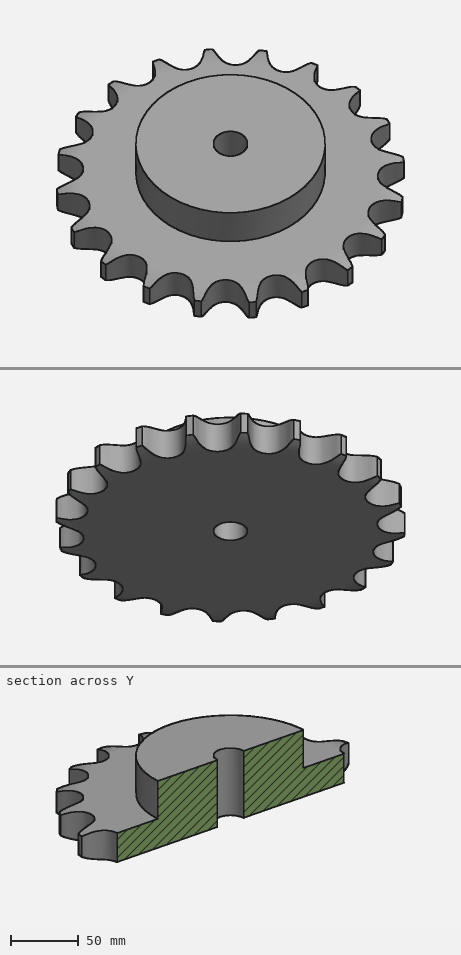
import cadquery as cq
import math

tooth_count = 20
pitch_diameter = 243.5
roller_diameter = 25.4
tip_diameter = 258.5
plate_thickness = 24.0
total_height = 55.0
hub_diameter = 140.0
bore_diameter = 25.0

relief_start_radius = 112.5
relief_drop = 3.5

seat_ratio = 0.5025
working_ratio = 0.8
topping_ratio = 1.4

seat_angle = math.radians(35 + 60 / tooth_count)
working_angle = math.radians(18 - 56 / tooth_count)
half_pitch_angle = math.radians(180 / tooth_count)

pitch_radius = pitch_diameter / 2
tip_radius = tip_diameter / 2
seat_radius = seat_ratio * roller_diameter
working_offset = working_ratio * roller_diameter
working_radius = seat_radius + working_offset
topping_offset = topping_ratio * roller_diameter

cutter_overrun = 12.8


def polar(center, radius, angle):
    """Point at a distance and an angle (radians, from +X) around a center."""
    return (center[0] + radius * math.cos(angle), center[1] + radius * math.sin(angle))


def mirrored(point):
    """Matching point on the other side of the gap."""
    return (-point[0], point[1])


def tooth_gap():
    """Cutter for the gap centered on +Y: seat arc, then working arc, flat and topping arc per side."""
    seat_center = (0, pitch_radius)
    seat_bottom = (0, pitch_radius - seat_radius)
    seat_end = polar(seat_center, seat_radius, -seat_angle)

    working_center = polar(seat_center, working_offset, math.pi - seat_angle)
    flat_angle = working_angle - seat_angle
    working_middle = polar(working_center, working_radius, flat_angle - working_angle / 2)
    working_end = polar(working_center, working_radius, flat_angle)

    topping_center = polar(seat_center, topping_offset, -half_pitch_angle)
    to_center = (topping_center[0] - working_end[0], topping_center[1] - working_end[1])
    topping_radius = to_center[0] * math.cos(flat_angle) + to_center[1] * math.sin(flat_angle)
    topping_start = polar(topping_center, topping_radius, math.pi + flat_angle)

    center_distance = math.hypot(*topping_center)
    cosine = (center_distance**2 + tip_radius**2 - topping_radius**2) / (2 * center_distance * tip_radius)
    center_bearing = math.atan2(topping_center[1], topping_center[0])
    tip_corner = polar((0, 0), tip_radius, center_bearing + math.acos(cosine))
    tip_direction = math.atan2(tip_corner[1] - topping_center[1], tip_corner[0] - topping_center[0])
    topping_middle_angle = (math.pi + flat_angle + tip_direction) / 2
    topping_middle = polar(topping_center, topping_radius, topping_middle_angle)

    gap_top = tip_radius + cutter_overrun
    return (
        cq.Workplane("XY")
        .moveTo(*mirrored(tip_corner))
        .threePointArc(mirrored(topping_middle), mirrored(topping_start))
        .lineTo(*mirrored(working_end))
        .threePointArc(mirrored(working_middle), mirrored(seat_end))
        .threePointArc(seat_bottom, seat_end)
        .threePointArc(working_middle, working_end)
        .lineTo(*topping_start)
        .threePointArc(topping_middle, tip_corner)
        .lineTo(tip_corner[0], gap_top)
        .lineTo(-tip_corner[0], gap_top)
        .close()
        .extrude(plate_thickness)
    )


def plate_blank():
    """Disc whose rim tapers on both faces along arcs tangent to those faces."""
    relief_width = tip_radius - relief_start_radius
    relief_radius = (relief_width**2 + relief_drop**2) / (2 * relief_drop)
    middle_width = relief_width / 2
    middle_drop = relief_radius - math.sqrt(relief_radius**2 - middle_width**2)
    middle_radius = relief_start_radius + middle_width
    return (
        cq.Workplane("XZ")
        .lineTo(relief_start_radius, 0)
        .threePointArc((middle_radius, middle_drop), (tip_radius, relief_drop))
        .lineTo(tip_radius, plate_thickness - relief_drop)
        .threePointArc(
            (middle_radius, plate_thickness - middle_drop),
            (relief_start_radius, plate_thickness),
        )
        .lineTo(0, plate_thickness)
        .close()
        .revolve(360, (0, 0, 0), (0, 1, 0))
    )


sprocket = plate_blank()
gap = tooth_gap()
for index in range(tooth_count):
    sprocket = sprocket.cut(gap.rotate((0, 0, 0), (0, 0, 1), index * 360 / tooth_count))

hub = cq.Workplane("XY").circle(hub_diameter / 2).extrude(total_height)
bore = cq.Workplane("XY").circle(bore_diameter / 2).extrude(total_height)

result = sprocket.union(hub).cut(bore)